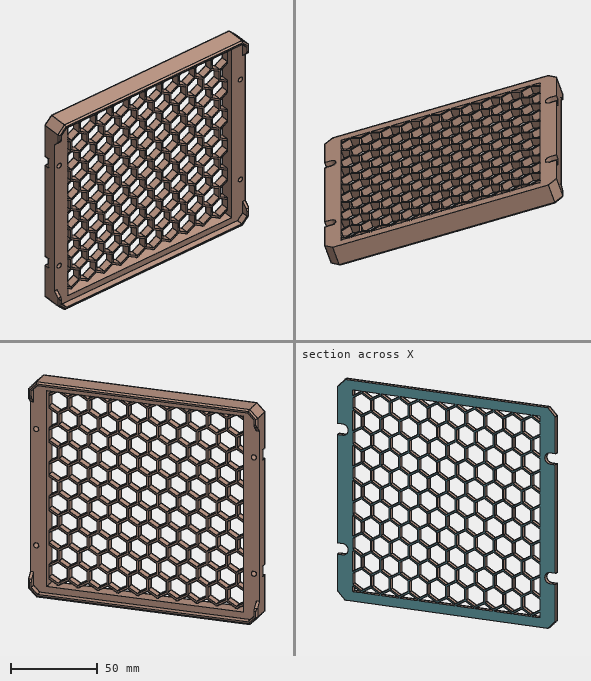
import cadquery as cq
import math

depth = 13.0
width = 141.0
height = 133.0
corner_chamfer = 5.0
rear_chamfer = 1.0

body_depth = 8.9
lip_thickness = 2.0
relief_slope = depth - body_depth
relief_end_distance = 14.0
relief_half_height = height / 2 - relief_end_distance

window_size = 121.0
honeycomb_depth = 5.0
cell_width = 11.0
wall = 1.2
cell_pitch = cell_width + wall
row_pitch = cell_pitch * math.sqrt(3) / 2
cell_corner_diameter = cell_width * 2 / math.sqrt(3)
row_reach = math.ceil(window_size / 2 / row_pitch)
column_reach = math.ceil(window_size / 2 / cell_pitch)

screw_edge_distance = 3.5
screw_half_spacing = 36.0
screw_diameter = 3.1
pocket_width = 6.5
pocket_depth = 3.1


def front_plane():
    """Workplane on the front face, local axes along Y and Z, facing +X."""
    return cq.Workplane("YZ")


def make_plate(inset=0):
    """Corner-cut block, its outline moved inward by the given inset."""
    inset_corner = corner_chamfer - inset * (2 - math.sqrt(2))
    plate = front_plane().rect(width - 2 * inset, height - 2 * inset).extrude(depth)
    return plate.edges("|X").chamfer(inset_corner)


def make_relief():
    """Trapezoidal channel across the full width, with 45 degree flanks."""
    inner = relief_half_height
    outer = inner + relief_slope
    profile = [(body_depth, -inner), (depth, -outer), (depth, outer), (body_depth, inner)]
    return cq.Workplane("XZ").polyline(profile).close().extrude(width / 2, both=True)


def make_rear_recess():
    """Hollow behind the body that leaves only the lip, following the plate outline."""
    return make_plate(lip_thickness).translate((body_depth, 0, 0))


def make_window():
    return front_plane().rect(window_size, window_size).extrude(depth)


def make_honeycomb():
    """Square panel pierced by hexagons that have a corner pointing up."""
    centers = []
    for row in range(-row_reach, row_reach + 1):
        shift = cell_pitch / 2 * (row % 2)
        for column in range(-column_reach - 1, column_reach + 1):
            centers.append((row * row_pitch, column * cell_pitch + shift))
    upright = cq.Plane(origin=(0, 0, 0), xDir=(0, 0, 1), normal=(1, 0, 0))
    cells = cq.Workplane(upright).pushPoints(centers).polygon(6, cell_corner_diameter).extrude(honeycomb_depth)
    return front_plane().rect(window_size, window_size).extrude(honeycomb_depth).cut(cells)


def make_screw_seat(side, end):
    """Screw hole and its round-ended pocket, open toward the nearest side."""
    center_y = side * (width / 2 - screw_edge_distance)
    seat = front_plane().center(center_y, end * screw_half_spacing)
    screw = seat.circle(screw_diameter / 2).extrude(depth)
    pocket = seat.circle(pocket_width / 2).extrude(pocket_depth)
    mouth = seat.center(side * pocket_width / 2, 0).rect(pocket_width, pocket_width).extrude(pocket_depth)
    return screw.union(pocket).union(mouth)


result = make_plate().cut(make_relief())
result = result.faces(">X").chamfer(rear_chamfer)
result = result.cut(make_rear_recess()).cut(make_window()).union(make_honeycomb())
for side in (-1, 1):
    for end in (-1, 1):
        result = result.cut(make_screw_seat(side, end))